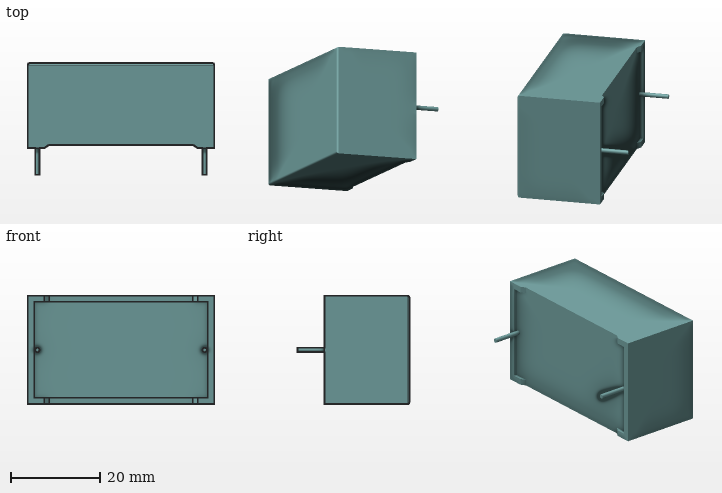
import cadquery as cq

length = 41.8
height = 24.3
depth = 19.1
end_wall = 1.5
side_wall = 1.4
back_wall = 1.5
back_edge_radius = 0.5

foot_length = 3.7
relief_slope = 1.1
relief_depth = 0.7

filling_recess = relief_depth
cavity_length = length - 2 * end_wall
cavity_height = height - 2 * side_wall
filling_depth = depth - back_wall - filling_recess

pin_diameter = 1.0
pin_pitch = 37.5
pin_protrusion = 6.0
pin_embedding = 3.0


def block(size_x, size_y, size_z, front_y):
    """Box centred on X and Z that runs from front_y towards +Y."""
    return cq.Workplane("XY").box(size_x, size_y, size_z).translate((0, front_y + size_y / 2, 0))


def make_relief():
    """Shallow trapezoid cut through both long rims."""
    mouth_half = length / 2 - foot_length
    floor_half = mouth_half - relief_slope
    return (
        cq.Workplane("XY")
        .polyline([
            (-mouth_half, 0),
            (mouth_half, 0),
            (floor_half, relief_depth),
            (-floor_half, relief_depth),
        ])
        .close()
        .extrude(height / 2, both=True)
    )


def make_housing():
    shell = block(length, depth, height, 0).faces(">Y").edges().fillet(back_edge_radius)
    cavity = block(cavity_length, depth - back_wall, cavity_height, 0)
    return shell.cut(cavity).cut(make_relief())


def make_pin(center_x):
    """Round pin along Y, with its inner end embedded in the filling."""
    pin_length = pin_protrusion + filling_recess + pin_embedding
    return (
        cq.Workplane("XZ", origin=(center_x, -pin_protrusion, 0))
        .circle(pin_diameter / 2)
        .extrude(-pin_length)
    )


def make_filling(embedded_pins):
    """Block that fills the cavity, with a blind hole for each pin."""
    filling = block(cavity_length, filling_depth, cavity_height, filling_recess)
    for pin in embedded_pins:
        filling = filling.cut(pin)
    return filling


housing = make_housing()
pins = [make_pin(side * pin_pitch / 2) for side in (-1, 1)]
filling = make_filling(pins)

result = cq.Compound.makeCompound([
    housing.val(),
    filling.val(),
    *[pin.val() for pin in pins],
])